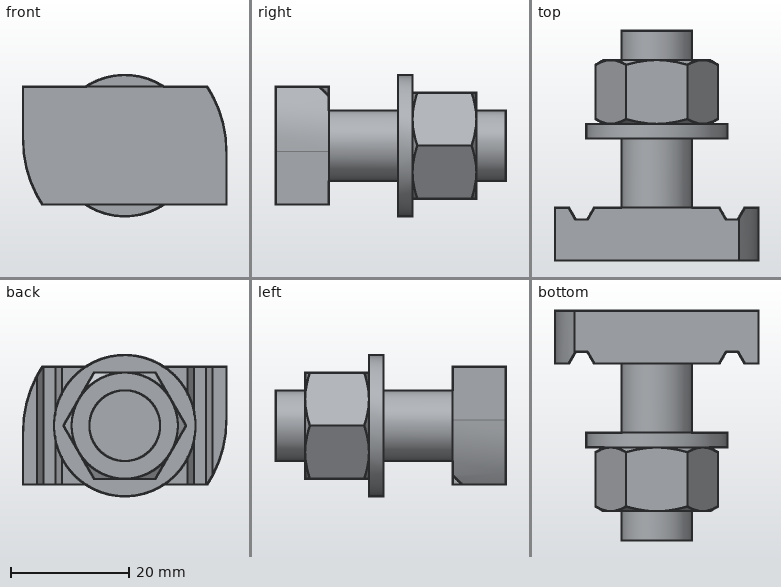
import cadquery as cq
import math


thread_diameter = 12.0
bolt_length = 39.0
head_length = 34.5
head_width = 20.0
head_thickness = 9.0
corner_radius = 20.0
corner_arc_start = 1.0

groove_offset = 12.75
groove_floor_width = 2.0
groove_depth = 2.0
groove_wall_angle = 30.0

washer_diameter = 24.0
washer_hole_diameter = 13.0
washer_thickness = 2.5

hexagon_sides = 6
nut_across_flats = 18.0
nut_height = 10.8
nut_chamfer_angle = 30.0
nut_top = 34.0

nut_bottom = nut_top - nut_height
washer_bottom = nut_bottom - washer_thickness


def cylinder(diameter, bottom, height):
    """Cylinder on the bolt axis, rising along +Y from bottom."""
    return cq.Workplane("XZ", origin=(0, bottom, 0)).circle(diameter / 2).extrude(-height)


def make_head():
    """Rectangular head with two diagonally opposite corners rounded so it can turn in a channel."""
    half_length = head_length / 2
    half_width = head_width / 2
    arc_rise = half_width + corner_arc_start
    arc_inset = corner_radius - math.sqrt(corner_radius**2 - arc_rise**2)
    half_sweep = math.asin(arc_rise / corner_radius) / 2
    mid_x = half_length - corner_radius * (1 - math.cos(half_sweep))
    mid_z = corner_radius * math.sin(half_sweep) - corner_arc_start
    return (
        cq.Workplane("XZ")
        .moveTo(half_length, -half_width)
        .lineTo(half_length, -corner_arc_start)
        .threePointArc((mid_x, mid_z), (half_length - arc_inset, half_width))
        .lineTo(-half_length, half_width)
        .lineTo(-half_length, corner_arc_start)
        .threePointArc((-mid_x, -mid_z), (arc_inset - half_length, -half_width))
        .close()
        .extrude(-head_thickness)
    )


def make_groove(center_x):
    """Trapezoidal groove cutter running the full head width along Z."""
    half_floor = groove_floor_width / 2
    half_mouth = half_floor + groove_depth * math.tan(math.radians(groove_wall_angle))
    floor_y = head_thickness - groove_depth
    return (
        cq.Workplane("XY")
        .polyline([
            (center_x - half_floor, floor_y),
            (center_x + half_floor, floor_y),
            (center_x + half_mouth, head_thickness),
            (center_x - half_mouth, head_thickness),
        ])
        .close()
        .extrude(head_width / 2, both=True)
    )


def make_bolt():
    head = make_head()
    for center_x in (-groove_offset, groove_offset):
        head = head.cut(make_groove(center_x))
    shank = cylinder(thread_diameter, head_thickness, bolt_length - head_thickness)
    return head.union(shank)


def make_washer():
    hole = cylinder(washer_hole_diameter, washer_bottom, washer_thickness)
    return cylinder(washer_diameter, washer_bottom, washer_thickness).cut(hole)


def make_nut():
    """Hexagon nut with corners along X, both ends chamfered by a cone that starts at the flats."""
    corner_diameter = nut_across_flats / math.cos(math.pi / hexagon_sides)
    hexagon = (
        cq.Workplane("XZ", origin=(0, nut_bottom, 0))
        .polygon(hexagon_sides, corner_diameter)
        .extrude(-nut_height)
    )
    face_radius = nut_across_flats / 2
    half_across_corners = corner_diameter / 2
    chamfer_height = (half_across_corners - face_radius) * math.tan(math.radians(nut_chamfer_angle))
    chamfer_envelope = (
        cq.Workplane("XY")
        .polyline([
            (0, nut_bottom),
            (face_radius, nut_bottom),
            (half_across_corners, nut_bottom + chamfer_height),
            (half_across_corners, nut_top - chamfer_height),
            (face_radius, nut_top),
            (0, nut_top),
        ])
        .close()
        .revolve(360, (0, 0, 0), (0, 1, 0))
    )
    bore = cylinder(thread_diameter, nut_bottom, nut_height)
    return hexagon.intersect(chamfer_envelope).cut(bore)


bolt = make_bolt()
washer = make_washer()
nut = make_nut()

result = cq.Compound.makeCompound([bolt.val(), washer.val(), nut.val()])